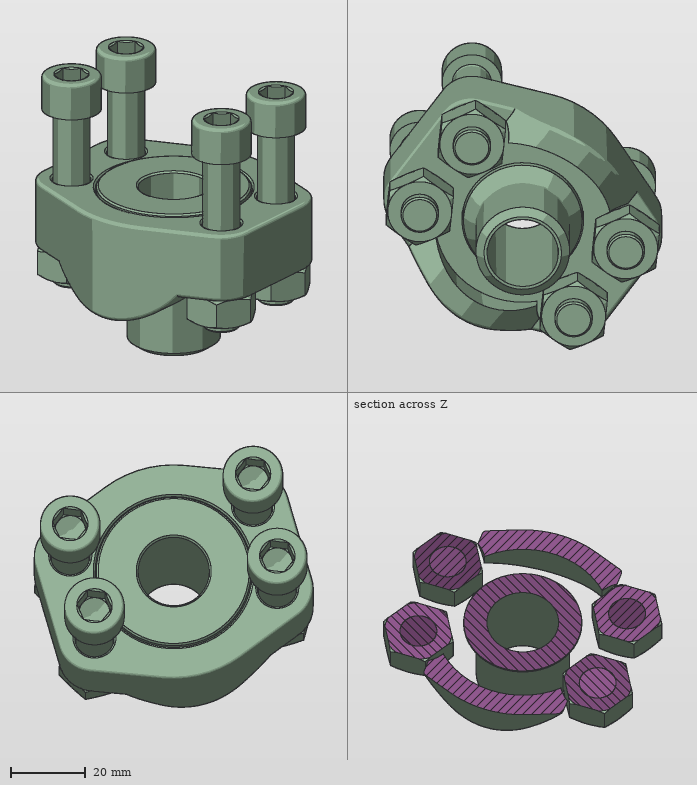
import cadquery as cq
import math

bolt_spacing_x = 50.7
bolt_spacing_y = 23.7
bolt_offset_x = bolt_spacing_x / 2
bolt_offset_y = bolt_spacing_y / 2
bolt_positions = [
    (side_x * bolt_offset_x, side_y * bolt_offset_y) for side_x in (-1, 1) for side_y in (-1, 1)
]

flange_length = 70.0
flange_width = 59.9
flange_top_z = 44.5
flange_bottom_z = 25.5
flange_edge_radius = 1.0
bulge_radius = 25.95
bulge_bottom_z = 16.05
bulge_recess_diameter = 47.0
seat_diameter = 42.0
seat_depth = 10.0
neck_hole_diameter = 32.5
bolt_hole_diameter = 10.5
hole_chamfer = 0.5
seat_chamfer = 0.5

nipple_top_z = 45.05
nipple_head_diameter = 41.3
nipple_neck_diameter = 31.6
nipple_neck_bottom_z = 24.8
nipple_cone_bottom_z = 20.1
pipe_diameter = 25.0
pipe_bore_diameter = 19.0
nipple_edge_chamfer = 0.5
pipe_bevel_width = 2.2
pipe_bevel_height = 1.6
cone_blend_radius = 1.0

bolt_top_z = 74.6
bolt_head_diameter = 16.0
bolt_head_height = 10.0
bolt_head_edge_radius = 1.0
bolt_shank_diameter = 10.0
bolt_shank_length = 50.0
bolt_collar_diameter = 10.5
bolt_collar_height = 0.9
bolt_tip_chamfer = 0.5
socket_width = 8.2
socket_depth = 6.35
socket_tip_angle = 120.0
socket_turn = 37.0

nut_width = 17.1
nut_height = 8.05
nut_chamfer_angle = 30.0

hexagon_sides = 6


def corner_diameter(width_across_flats):
    return width_across_flats / math.cos(math.pi / hexagon_sides)


def flange_outline():
    """Outline of end arcs about the pipe axis, corner arcs about the bolts, and straight tangents."""
    end_radius = flange_width / 2
    corner_radius = flange_length / 2 - bolt_offset_x
    bolt_distance = math.hypot(bolt_offset_x, bolt_offset_y)
    normal_angle = math.atan2(bolt_offset_y, bolt_offset_x) + math.acos(
        (end_radius - corner_radius) / bolt_distance
    )
    normal_x = math.cos(normal_angle)
    normal_y = math.sin(normal_angle)
    end_x = end_radius * normal_x
    end_y = end_radius * normal_y
    side_x = bolt_offset_x + corner_radius * normal_x
    side_y = bolt_offset_y + corner_radius * normal_y
    corner_mid_x = bolt_offset_x + corner_radius * math.cos(normal_angle / 2)
    corner_mid_y = bolt_offset_y + corner_radius * math.sin(normal_angle / 2)
    flat_x = flange_length / 2
    return (
        cq.Workplane("XY")
        .moveTo(-end_x, end_y)
        .threePointArc((0, end_radius), (end_x, end_y))
        .lineTo(side_x, side_y)
        .threePointArc((corner_mid_x, corner_mid_y), (flat_x, bolt_offset_y))
        .lineTo(flat_x, -bolt_offset_y)
        .threePointArc((corner_mid_x, -corner_mid_y), (side_x, -side_y))
        .lineTo(end_x, -end_y)
        .threePointArc((0, -end_radius), (-end_x, -end_y))
        .lineTo(-side_x, -side_y)
        .threePointArc((-corner_mid_x, -corner_mid_y), (-flat_x, -bolt_offset_y))
        .lineTo(-flat_x, bolt_offset_y)
        .threePointArc((-corner_mid_x, corner_mid_y), (-side_x, side_y))
        .close()
    )


def flange_blank():
    """Plate with a round-bottomed bulge along Y, its outer edges rounded at top and bottom."""
    bulge_axis_z = bulge_bottom_z + bulge_radius
    column = flange_outline().extrude(flange_top_z - bulge_bottom_z)
    column = column.translate((0, 0, bulge_bottom_z))
    plate_zone = (
        cq.Workplane("XY", origin=(0, 0, flange_bottom_z))
        .rect(flange_length, flange_width)
        .extrude(flange_top_z - flange_bottom_z)
    )
    bulge_zone = (
        cq.Workplane("XZ", origin=(0, 0, bulge_axis_z))
        .circle(bulge_radius)
        .extrude(flange_width, both=True)
    )
    blank = column.intersect(plate_zone.union(bulge_zone))

    def is_outer_edge(edge):
        """True for the wall's top and bottom edges, not its upright edges or the bulge corners."""
        on_wall = math.hypot(edge.Center().x, edge.Center().y) > bulge_radius
        is_upright = edge.geomType() == "LINE" and edge.BoundingBox().zlen > flange_edge_radius
        return on_wall and not is_upright

    return blank.edges().filter(is_outer_edge).fillet(flange_edge_radius)


def chamfered_cutter(diameter, top_z, depth, chamfer):
    """Cylinder hanging from top_z whose rim flares out by the chamfer."""
    radius = diameter / 2
    return (
        cq.Workplane("XZ", origin=(0, 0, top_z))
        .moveTo(0, 0)
        .lineTo(radius + chamfer, 0)
        .lineTo(radius, -chamfer)
        .lineTo(radius, -depth)
        .lineTo(0, -depth)
        .close()
        .revolve(360, (0, 0), (0, 1))
    )


def make_flange():
    flange = flange_blank()
    full_depth = flange_top_z - bulge_bottom_z
    nut_recess = (
        cq.Workplane("XY", origin=(0, 0, bulge_bottom_z))
        .circle(bulge_recess_diameter / 2)
        .extrude(flange_bottom_z - bulge_bottom_z)
    )
    seat = chamfered_cutter(seat_diameter, flange_top_z, seat_depth, seat_chamfer)
    neck_hole = (
        cq.Workplane("XY", origin=(0, 0, bulge_bottom_z))
        .circle(neck_hole_diameter / 2)
        .extrude(full_depth)
    )
    flange = flange.cut(nut_recess).cut(seat).cut(neck_hole)
    bolt_hole = chamfered_cutter(bolt_hole_diameter, flange_top_z, full_depth, hole_chamfer)
    nut_spotface = (
        cq.Workplane("XY", origin=(0, 0, bulge_bottom_z))
        .circle(corner_diameter(nut_width) / 2)
        .extrude(flange_bottom_z - bulge_bottom_z)
    )
    for x, y in bolt_positions:
        flange = flange.cut(bolt_hole.translate((x, y, 0)))
        flange = flange.cut(nut_spotface.translate((x, y, 0)))
    return flange


def make_nipple():
    """Turned nipple: flat head, neck, cone and pipe end with a weld bevel, bored through."""
    head_radius = nipple_head_diameter / 2
    neck_radius = nipple_neck_diameter / 2
    pipe_radius = pipe_diameter / 2
    bore_radius = pipe_bore_diameter / 2
    head_bottom_z = flange_top_z - seat_depth
    nipple = (
        cq.Workplane("XZ")
        .moveTo(bore_radius, 0)
        .lineTo(pipe_radius - pipe_bevel_width, 0)
        .lineTo(pipe_radius, pipe_bevel_height)
        .lineTo(pipe_radius, nipple_cone_bottom_z)
        .lineTo(neck_radius, nipple_neck_bottom_z)
        .lineTo(neck_radius, head_bottom_z)
        .lineTo(head_radius, head_bottom_z)
        .lineTo(head_radius, nipple_top_z - nipple_edge_chamfer)
        .lineTo(head_radius - nipple_edge_chamfer, nipple_top_z)
        .lineTo(bore_radius + nipple_edge_chamfer, nipple_top_z)
        .lineTo(bore_radius, nipple_top_z - nipple_edge_chamfer)
        .close()
        .revolve(360, (0, 0), (0, 1))
    )
    cone_foot = cq.selectors.NearestToPointSelector((pipe_radius, 0, nipple_cone_bottom_z))
    return nipple.edges("%CIRCLE").edges(cone_foot).fillet(cone_blend_radius)


def make_bolt(x, y):
    """Socket head bolt along Z with its head on top."""
    head_radius = bolt_head_diameter / 2
    shank_radius = bolt_shank_diameter / 2
    seat_z = bolt_top_z - bolt_head_height
    tip_z = seat_z - bolt_shank_length
    body = (
        cq.Workplane("XZ")
        .moveTo(0, tip_z)
        .lineTo(shank_radius - bolt_tip_chamfer, tip_z)
        .lineTo(shank_radius, tip_z + bolt_tip_chamfer)
        .lineTo(shank_radius, seat_z - bolt_collar_height)
        .lineTo(bolt_collar_diameter / 2, seat_z)
        .lineTo(head_radius, seat_z)
        .lineTo(head_radius, bolt_top_z)
        .lineTo(0, bolt_top_z)
        .close()
        .revolve(360, (0, 0), (0, 1))
        .faces(">Z").edges().fillet(bolt_head_edge_radius)
    )
    return body.cut(socket_cutter()).translate((x, y, 0))


def downward_cone(radius, base_z, slope):
    """Cone on the bolt axis with its base at base_z and its tip below."""
    return (
        cq.Workplane("XZ", origin=(0, 0, base_z))
        .lineTo(radius, 0)
        .lineTo(0, -radius * slope)
        .close()
        .revolve(360, (0, 0), (0, 1))
    )


def socket_cutter():
    """Hexagon socket with a countersunk mouth and a conical floor."""
    corner_radius = corner_diameter(socket_width) / 2
    floor_radius = socket_width / 2
    slope = math.tan(math.radians(90 - socket_tip_angle / 2))
    floor_z = bolt_top_z - socket_depth
    hexagon = (
        cq.Workplane("XY", origin=(0, 0, floor_z))
        .polygon(hexagon_sides, 2 * corner_radius)
        .extrude(socket_depth)
        .rotate((0, 0, 0), (0, 0, 1), socket_turn)
    )
    mouth = downward_cone(corner_radius, bolt_top_z, slope)
    floor = downward_cone(floor_radius, floor_z, slope)
    return hexagon.union(mouth).union(floor)


def make_nut(x, y):
    """Hexagon nut with both corner rings chamfered, one corner pointing along X."""
    corner_radius = corner_diameter(nut_width) / 2
    flat_radius = nut_width / 2
    drop = (corner_radius - flat_radius) * math.tan(math.radians(nut_chamfer_angle))
    bottom_z = flange_bottom_z - nut_height
    hexagon = (
        cq.Workplane("XY", origin=(0, 0, bottom_z))
        .polygon(hexagon_sides, 2 * corner_radius)
        .extrude(nut_height)
    )
    chamfer_envelope = (
        cq.Workplane("XZ")
        .moveTo(bolt_shank_diameter / 2, bottom_z)
        .lineTo(flat_radius, bottom_z)
        .lineTo(corner_radius, bottom_z + drop)
        .lineTo(corner_radius, flange_bottom_z - drop)
        .lineTo(flat_radius, flange_bottom_z)
        .lineTo(bolt_shank_diameter / 2, flange_bottom_z)
        .close()
        .revolve(360, (0, 0), (0, 1))
    )
    return hexagon.intersect(chamfer_envelope).translate((x, y, 0))


flange = make_flange()
nipple = make_nipple()
bolts = [make_bolt(x, y).val() for x, y in bolt_positions]
nuts = [make_nut(x, y).val() for x, y in bolt_positions]

result = cq.Compound.makeCompound([flange.val(), nipple.val(), *bolts, *nuts])